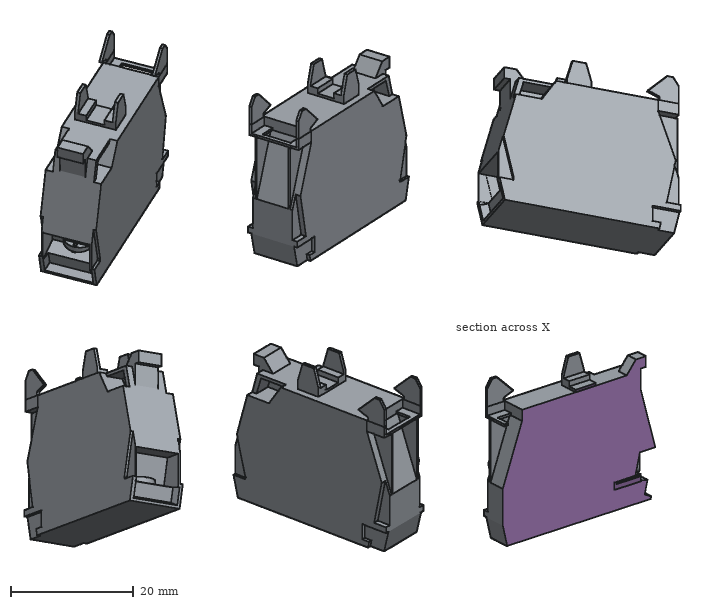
import cadquery as cq
length = 32.0
width = 9.82
height = 28.6

half_length = length / 2
half_width = width / 2

base_half_length = 15.07
nose_bottom_z = 3.97
nose_top_z = 9.15
deck_z = 23.6
deck_front_y = -12.05
deck_rear_y = 11.97
tail_top_z = 21.6
tail_bottom_z = 10.55

front_slope = (deck_front_y + half_length) / (deck_z - nose_top_z)
nose_lean = (half_length - base_half_length) / nose_bottom_z

rib_inner_x = 3.15
rib_outer_x = 3.5

corner_inner_x = 3.6
corner_floor_z = 19.8
corner_top_y = -6.05
corner_foot_y = -8.55

hollow_depth = 2.98
hollow_roof_z = 23.0
hollow_roof_front_y = -11.23
hollow_foot_front_y = -12.2

front_flank_depth = 0.48
front_flank_apex = (-15.25, 11.7)
front_flank_kink = (-13.47, 4.32)
front_flank_foot_y = -13.57

rear_flank_depth = 0.95
rear_flank_apex = (15.07, 13.02)
rear_flank_foot_y = 13.5
rear_flank_floor_z = 5.05

tail_foot_depth = 0.65
tail_foot_front_y = 11.0
tail_foot_step_y = 12.45
tail_foot_step_z = 1.15
tail_foot_base_y = 12.22

pocket_left_x = -4.22
pocket_right_x = 4.03
pocket_roof_z = 9.0
pocket_back_y = -11.7
pocket_back_z = 4.4
block_front_y = -14.4
block_top_z = 3.65

funnel_right_x = 4.35
funnel_sill_z = 0.48
funnel_lintel_z = 3.35
throat_left_x = -3.87
throat_sill_z = 1.2

screw_radius = 2.8
screw_y = -10.2
screw_top_z = 5.05
screw_bottom_z = 3.85
slot_length = 4.75
slot_width = 0.5
slot_depth = 0.32

clip_front_y = -3.52
clip_rear_y = 0.77
clip_half_width = corner_inner_x
clip_base_z = 25.02
prong_thickness = 0.58
prong_bend_z = 25.3
prong_tip_front_y = -2.55
prong_tip_rear_y = -0.2
channel_half_width = 1.6
channel_floor_z = 24.05

latch_left_x = -2.43
latch_right_x = 2.08
latch_rear_y = -9.95
latch_crest_y = -11.87
latch_lip_y = -14.0
latch_stem_y = -12.95
latch_top_z = 25.95
latch_lip_z = 23.95

bracket_rear_y = 15.65
bracket_thickness = 0.4
cheek_thickness = 0.48
window_half_width = 2.8
window_rear_y = 14.8
hook_shoulder_z = 26.8
hook_top_z = 28.32
hook_top_rear_y = 14.62
hook_top_front_y = 13.57
hook_tip = (10.18, 25.02)
hook_throat_z = 24.35
hook_throat_depth = 0.3


def side_prism(points, x_start, x_end):
    """Solid with a (Y, Z) outline, running from x_start to x_end."""
    outline = cq.Workplane("YZ").workplane(offset=x_start).polyline(points).close()
    return outline.extrude(x_end - x_start)


def cut_both_sides(body, points, depth):
    """Sink a (Y, Z) outline into both side faces."""
    inner_x = half_width - depth
    pocket = side_prism(points, inner_x, half_width)
    return body.cut(pocket).cut(pocket.mirror("YZ"))


def nose_y(z):
    """Y of the undercut nose face below the vertical line of the nose."""
    return -half_length + nose_lean * (nose_bottom_z - z)


def housing_blank():
    outline = [
        (-base_half_length, 0),
        (base_half_length, 0),
        (half_length, nose_bottom_z),
        (half_length, tail_bottom_z),
        (deck_rear_y, tail_top_z),
        (deck_rear_y, deck_z),
        (deck_front_y, deck_z),
        (-half_length, nose_top_z),
        (-half_length, nose_bottom_z),
    ]
    return side_prism(outline, -half_width, half_width)


def add_tail_ribs(body):
    outline = [(deck_rear_y, tail_top_z), (half_length, tail_top_z), (half_length, tail_bottom_z)]
    rib = side_prism(outline, rib_inner_x, rib_outer_x)
    return body.union(rib).union(rib.mirror("YZ"))


def cut_front_corners(body):
    """Notches at the two upper front corners, each with a deeper hollow in its inner wall."""
    notch = [
        (corner_top_y, deck_z),
        (corner_foot_y, corner_floor_z),
        (-half_length, corner_floor_z),
        (-half_length, deck_z),
    ]
    rear_lean = (corner_top_y - corner_foot_y) / (deck_z - corner_floor_z)
    hollow_roof_rear_y = corner_top_y - rear_lean * (deck_z - hollow_roof_z)
    hollow = [
        (hollow_roof_rear_y, hollow_roof_z),
        (corner_foot_y, corner_floor_z),
        (hollow_foot_front_y, corner_floor_z),
        (hollow_roof_front_y, hollow_roof_z),
    ]
    notch_depth = half_width - corner_inner_x
    body = cut_both_sides(body, notch, notch_depth)
    return cut_both_sides(body, hollow, notch_depth + hollow_depth)


def cut_flanks(body):
    """Triangular recesses beside the nose and the tail, and the stepped recess at the tail foot."""
    front = [
        front_flank_apex,
        front_flank_kink,
        (front_flank_foot_y, nose_bottom_z),
        (-half_length, nose_bottom_z),
        (-half_length, front_flank_apex[1]),
    ]
    rear = [
        rear_flank_apex,
        (rear_flank_foot_y, rear_flank_floor_z),
        (half_length, rear_flank_floor_z),
        (half_length, rear_flank_apex[1]),
    ]
    foot = [
        (half_length, nose_bottom_z),
        (tail_foot_front_y, nose_bottom_z),
        (tail_foot_front_y, tail_foot_step_z),
        (tail_foot_step_y, tail_foot_step_z),
        (tail_foot_base_y, 0),
        (half_length, 0),
    ]
    body = cut_both_sides(body, front, front_flank_depth)
    body = cut_both_sides(body, rear, rear_flank_depth)
    return cut_both_sides(body, foot, tail_foot_depth)


def cut_terminal_pocket(body):
    """Open pocket above the terminal block, and the funnel in front of the block."""
    roof_back_y = pocket_back_y - nose_lean * (pocket_roof_z - pocket_back_z)
    block_slope = (pocket_back_z - block_top_z) / (pocket_back_y - block_front_y)
    pocket_sill_z = block_top_z - block_slope * (block_front_y + half_length)
    pocket = [
        (-half_length, pocket_roof_z),
        (roof_back_y, pocket_roof_z),
        (pocket_back_y, pocket_back_z),
        (-half_length, pocket_sill_z),
    ]
    throat_y = block_front_y + nose_lean * (block_top_z - throat_sill_z)
    mouth = cq.Wire.makePolygon(
        [
            cq.Vector(pocket_left_x, nose_y(funnel_sill_z), funnel_sill_z),
            cq.Vector(funnel_right_x, nose_y(funnel_sill_z), funnel_sill_z),
            cq.Vector(funnel_right_x, nose_y(funnel_lintel_z), funnel_lintel_z),
            cq.Vector(pocket_left_x, nose_y(funnel_lintel_z), funnel_lintel_z),
        ],
        close=True,
    )
    throat = cq.Wire.makePolygon(
        [
            cq.Vector(throat_left_x, throat_y, throat_sill_z),
            cq.Vector(pocket_right_x, throat_y, throat_sill_z),
            cq.Vector(pocket_right_x, block_front_y, block_top_z),
            cq.Vector(throat_left_x, block_front_y, block_top_z),
        ],
        close=True,
    )
    funnel = cq.Workplane(cq.Solid.makeLoft([mouth, throat], True))
    return body.cut(side_prism(pocket, pocket_left_x, pocket_right_x)).cut(funnel)


def add_latch(body):
    """Hooked latch lying on the deck edge, with its stem ending on the front slope."""
    stem_foot_z = nose_top_z + (latch_stem_y + half_length) / front_slope
    outline = [
        (latch_rear_y, deck_z),
        (latch_crest_y, latch_top_z),
        (latch_lip_y, latch_top_z),
        (latch_lip_y, latch_lip_z),
        (latch_stem_y, latch_lip_z),
        (latch_stem_y, stem_foot_z),
        (deck_front_y, deck_z),
    ]
    return body.union(side_prism(outline, latch_left_x, latch_right_x))


def screw_blank():
    base = cq.Workplane("XY", origin=(0, screw_y, screw_bottom_z))
    return base.circle(screw_radius).extrude(screw_top_z - screw_bottom_z)


def make_screw():
    """Flat screw with a closed driver slot along Y in its top."""
    top = cq.Workplane("XY", origin=(0, screw_y, screw_top_z))
    slot = top.rect(slot_width, slot_length).extrude(-slot_depth)
    return screw_blank().cut(slot)


def cut_screw_seat(body):
    """Round seat that fits the screw closely, in the block and the back wall of the pocket."""
    return body.cut(screw_blank())


def make_housing():
    body = housing_blank()
    body = add_tail_ribs(body)
    body = cut_front_corners(body)
    body = cut_flanks(body)
    body = cut_terminal_pocket(body)
    body = cut_screw_seat(body)
    return add_latch(body)


def make_clip():
    """Channelled base with a tapered prong standing on each side."""
    prong_outline = [
        (clip_front_y, deck_z),
        (clip_rear_y, deck_z),
        (clip_rear_y, prong_bend_z),
        (prong_tip_rear_y, height),
        (prong_tip_front_y, height),
        (clip_front_y, prong_bend_z),
    ]
    base_outline = [
        (-clip_half_width, deck_z),
        (clip_half_width, deck_z),
        (clip_half_width, clip_base_z),
        (channel_half_width, clip_base_z),
        (channel_half_width, channel_floor_z),
        (-channel_half_width, channel_floor_z),
        (-channel_half_width, clip_base_z),
        (-clip_half_width, clip_base_z),
    ]
    base = cq.Workplane("XZ", origin=(0, clip_rear_y, 0)).polyline(base_outline).close()
    clip = base.extrude(clip_rear_y - clip_front_y)
    prong = side_prism(prong_outline, clip_half_width - prong_thickness, clip_half_width)
    return clip.union(prong).union(prong.mirror("YZ"))


def make_bracket():
    """Tray behind the deck: a floor plate with a window, between two side cheeks."""
    depth = bracket_rear_y - deck_rear_y
    tray_height = deck_z - tail_top_z
    corner = cq.Workplane("XY", origin=(0, deck_rear_y, tail_top_z))
    tray = corner.box(width, depth, tray_height, centered=(True, False, False))
    inside = corner.workplane(offset=bracket_thickness).box(
        width - 2 * cheek_thickness, depth, tray_height, centered=(True, False, False)
    )
    window = corner.box(
        2 * window_half_width,
        window_rear_y - deck_rear_y,
        bracket_thickness,
        centered=(True, False, False),
    )
    return tray.cut(inside).cut(window)


def make_hook(x_start):
    """Barbed hook standing on one cheek of the bracket, with a rounded throat at its foot."""
    throat_middle = (deck_rear_y + hook_throat_depth, (deck_z + hook_throat_z) / 2)
    outline = (
        cq.Workplane("YZ")
        .workplane(offset=x_start)
        .moveTo(deck_rear_y, deck_z)
        .lineTo(bracket_rear_y, deck_z)
        .lineTo(bracket_rear_y, hook_shoulder_z)
        .lineTo(hook_top_rear_y, hook_top_z)
        .lineTo(hook_top_front_y, hook_top_z)
        .lineTo(*hook_tip)
        .lineTo(deck_rear_y, hook_throat_z)
        .threePointArc(throat_middle, (deck_rear_y, deck_z))
        .close()
    )
    return outline.extrude(cheek_thickness)


housing = make_housing()
screw = make_screw()
clip = make_clip()
bracket = make_bracket()

hook_starts = [-half_width, half_width - cheek_thickness]
hooks = [make_hook(x_start).val() for x_start in hook_starts]

result = cq.Compound.makeCompound([housing.val(), screw.val(), clip.val(), bracket.val(), *hooks])